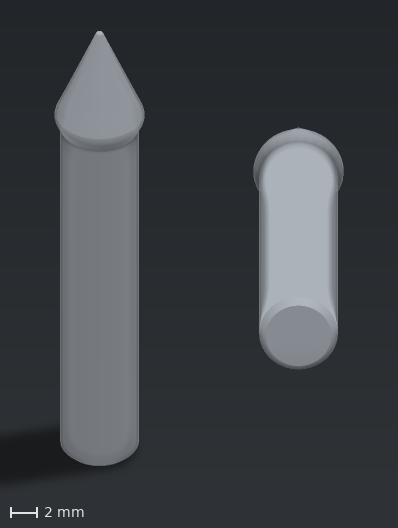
import cadquery as cq

total_length = 40.0
shank_diameter = 6.0
collar_diameter = 7.03
tip_diameter = 0.46

shank_top = 30.8
collar_height = 32.0

end_chamfer = 0.5
collar_rounding = 0.8
tip_rounding = 0.2

shank_radius = shank_diameter / 2
collar_radius = collar_diameter / 2
tip_radius = tip_diameter / 2


def pin_body():
    """Shank, flared collar and conical point as one revolved profile."""
    profile = (
        cq.Workplane("XZ")
        .moveTo(0, 0)
        .lineTo(shank_radius - end_chamfer, 0)
        .lineTo(shank_radius, end_chamfer)
        .lineTo(shank_radius, shank_top)
        .lineTo(collar_radius, collar_height)
        .lineTo(tip_radius, total_length)
        .lineTo(0, total_length)
        .close()
    )
    return profile.revolve(360, (0, 0, 0), (0, 1, 0))


def round_collar(body):
    """Round the widest edge, where the flare meets the cone."""
    widest_edge = cq.selectors.RadiusNthSelector(-1)
    return body.edges(widest_edge).fillet(collar_rounding)


def round_tip(body):
    """Round the edge of the small flat at the very tip."""
    return body.faces(">Z").edges().fillet(tip_rounding)


result = round_tip(round_collar(pin_body()))